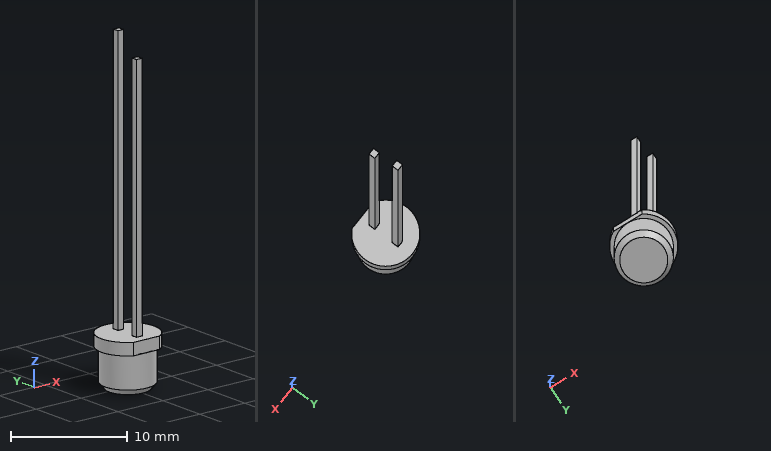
import cadquery as cq

total_height = 32.0
housing_height = 5.0

body_diameter = 5.1
bevel_height = 0.58
bevel_width = 0.48

flange_diameter = 5.9
flange_depth = 5.5
flange_thickness = 1.2
flange_bottom = housing_height - flange_thickness
flat_y = flange_diameter / 2 - flange_depth

lead_width = 0.65
lead_spacing = 2.53
lead_step = 2.0


def make_body():
    """Cylinder from the base to the flange, bevelled at the bottom."""
    cylinder = cq.Workplane("XY").circle(body_diameter / 2).extrude(housing_height)
    return cylinder.faces("<Z").chamfer(bevel_height, bevel_width)


def make_flange():
    """Disc trimmed by a plane at flat_y."""
    disc = (
        cq.Workplane("XY")
        .workplane(offset=flange_bottom)
        .circle(flange_diameter / 2)
        .extrude(flange_thickness)
    )
    keep = (
        cq.Workplane("XY")
        .box(flange_diameter, flange_depth, housing_height, centered=(True, False, False))
        .translate((0, flat_y, 0))
    )
    return disc.intersect(keep)


def make_lead(y, top):
    """Square lead standing on the flange, reaching up to height top."""
    return (
        cq.Workplane("XY")
        .workplane(offset=housing_height)
        .center(0, y)
        .rect(lead_width, lead_width)
        .extrude(top - housing_height)
    )


result = make_body().union(make_flange())
for lead_y, lead_top in (
    (lead_spacing / 2, total_height),
    (-lead_spacing / 2, total_height - lead_step),
):
    result = result.union(make_lead(lead_y, lead_top))